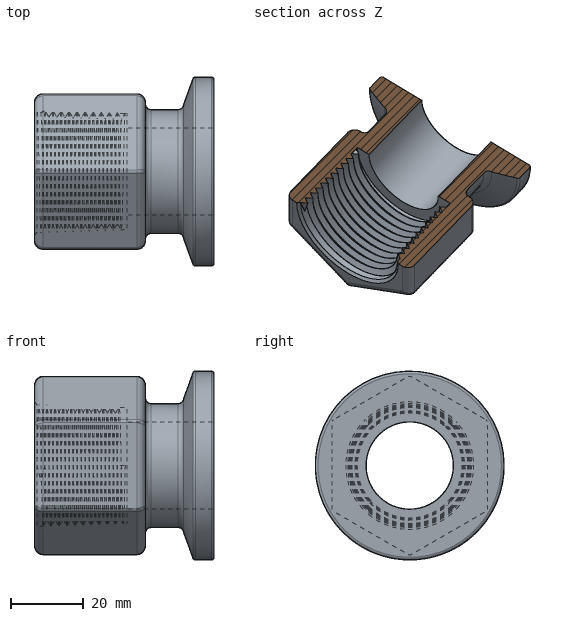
import cadquery as cq
import math

INCH = 25.4

total_length = 49.28
hex_length = 1.2 * INCH

hex_sides = 6
hex_half_sector = 180 / hex_sides
hex_across_flats = 42.67
hex_end_radius = 2.4
hex_corner_radius = 1.0

neck_diameter = 34.04
neck_fillet_radius = 1.52
flange_diameter = 51.82
flange_rim_width = 5.65
flange_edge_radius = 0.76
flange_back_angle = 20.0

bore_diameter = 23.88
mouth_diameter = 35.05
mouth_chamfer_length = 0.7
mouth_chamfer_depth = 0.83
socket_depth = INCH
taper_ratio = 1 / 32

thread_pitch = INCH / 11.5
thread_height = 1.6
thread_root_flat = 0.08
thread_crest_flat = 0.1
thread_turns = 10
thread_foot = 0.3
runout_angle = 15.0
runout_tip_scale = 0.02

mouth_radius = mouth_diameter / 2
wall_start_radius = mouth_radius - mouth_chamfer_depth
thread_start = mouth_chamfer_length + thread_pitch / 2
slab = 0.01


def wall_radius(x):
    """Radius of the tapered socket wall at x."""
    return wall_start_radius - (x - mouth_chamfer_length) * taper_ratio


def circles_at(x):
    """Selector for the edges lying in the plane at x."""
    reach = flange_diameter
    return cq.selectors.BoxSelector((x - slab, -reach, -reach), (x + slab, reach, reach), True)


def about_x_axis(profile):
    """Revolve a closed profile, drawn as (x, radius), about the X axis."""
    return profile.close().revolve(360, (0, 0, 0), (1, 0, 0))


def hex_grip():
    """Hexagonal prism with two flats square to Y, rounded all over."""
    across_corners = hex_across_flats / math.cos(math.radians(hex_half_sector))
    grip = (
        cq.Workplane("YZ")
        .transformed(rotate=(0, 0, hex_half_sector))
        .polygon(hex_sides, across_corners)
        .extrude(hex_length)
    )
    grip = grip.edges("|X").fillet(hex_corner_radius)
    return grip.faces("<X or >X").edges().fillet(hex_end_radius)


def neck_and_flange():
    """Neck with a quarter round at each end, then the conical back and rim of the flange."""
    neck_radius = neck_diameter / 2
    shoulder_radius = neck_radius + neck_fillet_radius
    rim_radius = flange_diameter / 2
    rim_start = total_length - flange_rim_width
    cone_length = (rim_radius - shoulder_radius) * math.tan(math.radians(flange_back_angle))
    cone_start = rim_start - cone_length
    body = about_x_axis(
        cq.Workplane("XY")
        .moveTo(hex_length, 0)
        .lineTo(hex_length, shoulder_radius)
        .radiusArc((hex_length + neck_fillet_radius, neck_radius), -neck_fillet_radius)
        .lineTo(cone_start - neck_fillet_radius, neck_radius)
        .radiusArc((cone_start, shoulder_radius), -neck_fillet_radius)
        .lineTo(rim_start, rim_radius)
        .lineTo(total_length, rim_radius)
        .lineTo(total_length, 0)
    )
    body = body.edges(circles_at(rim_start)).fillet(flange_edge_radius)
    return body.edges(circles_at(total_length)).fillet(flange_edge_radius)


def through_bore():
    return cq.Workplane("YZ").circle(bore_diameter / 2).extrude(total_length)


def socket():
    """Chamfered mouth and tapered wall."""
    return about_x_axis(
        cq.Workplane("XY")
        .moveTo(0, 0)
        .lineTo(0, mouth_radius)
        .lineTo(mouth_chamfer_length, wall_start_radius)
        .lineTo(socket_depth, wall_radius(socket_depth))
        .lineTo(socket_depth, 0)
    )


def ridge_section(plane, radius, scale=1.0):
    """Thread cross-section; local x is the radius, local y runs along the thread axis."""
    half_base = scale * (thread_pitch - thread_root_flat) / 2
    half_crest = scale * thread_crest_flat / 2
    crest = radius - scale * thread_height
    foot = radius + thread_foot
    return plane.polyline(
        [
            (foot, -half_base),
            (radius, -half_base),
            (crest, -half_crest),
            (crest, half_crest),
            (radius, half_base),
            (foot, half_base),
        ]
    ).close()


def thread_ridge():
    """Right-hand tapered thread starting toward +Y, its first end fading into the wall."""
    start_radius = wall_radius(thread_start)
    taper_angle = math.degrees(math.atan(taper_ratio))

    start_plane = cq.Workplane("XZ")
    start_section = ridge_section(start_plane, start_radius)
    length = thread_turns * thread_pitch
    helix = cq.Wire.makeHelix(thread_pitch, length, start_radius, angle=-taper_angle)
    turns = start_section.sweep(cq.Workplane(helix), isFrenet=True)

    tip_plane = start_plane.transformed(rotate=(0, -runout_angle, 0))
    tip_section = ridge_section(tip_plane, start_radius, runout_tip_scale)
    ends = [start_section.wires().val(), tip_section.wires().val()]
    runout = cq.Workplane(cq.Solid.makeLoft(ends, True))

    pieces = []
    for piece in (turns, runout):
        piece = piece.rotate((0, 0, 0), (0, 0, 1), 90)
        piece = piece.rotate((0, 0, 0), (0, 1, 0), 90)
        pieces.append(piece.translate((thread_start, 0, 0)))
    return pieces


result = hex_grip().union(neck_and_flange())
result = result.cut(through_bore()).cut(socket())
for ridge_piece in thread_ridge():
    result = result.union(ridge_piece)